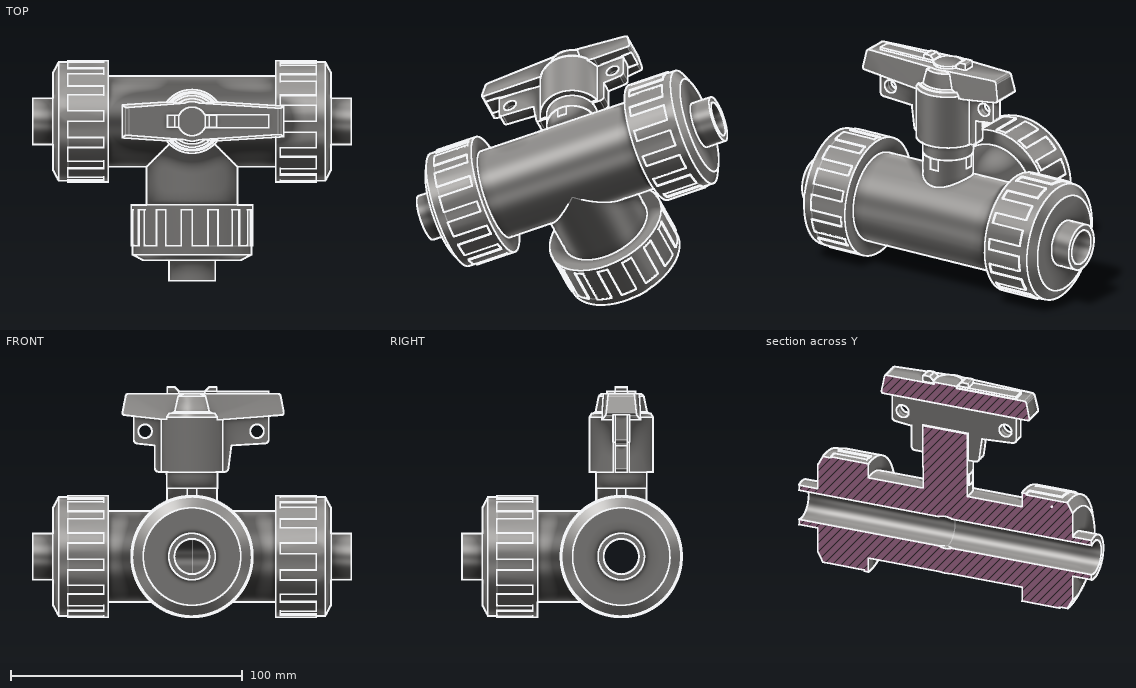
import cadquery as cq


END_REACH = 68.8
BODY_RADIUS = 19.7
PIPE_RADIUS = 10.0
BORE_RADIUS = 7.5

NUT_START = 36.0
NUT_COLLAR_END = 38.1
NUT_RIB_END = 53.6
NUT_CHAMFER_START = 57.5
NUT_END = 60.0
NUT_RADIUS = 25.7
NUT_FACE_RADIUS = 21.0
RIB_RADIUS = 26.3
RIB_COUNT = 14
RIB_PITCH = 360.0 / RIB_COUNT
GAP_ANGLE = 0.4 * RIB_PITCH
CUT_CLEARANCE = 1.4

STEM_RADIUS = 11.0
NECK_RADIUS = 10.9
NECK_TOP = 29.4
STEM_TOP = 49.4
KEY_RADIUS = NECK_RADIUS + 0.07
KEY_WIDTH = 4.0
KEY_BOTTOM = 24.2

HUB_BOTTOM = 36.5
HUB_RADIUS = 13.8
HUB_SHOULDER = 60.1
HUB_LEDGE = 61.7
HUB_LEDGE_RADIUS = 12.8
HUB_SLOT_WIDTH = 7.0

CONE_FOOT_RADIUS = 12.1
CONE_BASE = 62.4
CONE_BASE_RADIUS = 11.1
CONE_RIM = 69.2
CONE_RIM_RADIUS = 9.8
CONE_TOP_RADIUS = 8.5

BAR_LEFT = -30.2
BAR_RIGHT = 39.9
BAR_TOP = 70.3
BAR_END_BOTTOM = 61.0
BAR_LEFT_ROOT = 59.3
BAR_RIGHT_ROOT = 58.8
BAR_RIGHT_ROOT_X = 10.3
BAR_BOTTOM_HALF_WIDTHS = (7.4, 9.0, 6.9)
BAR_TOP_HALF_WIDTHS = (5.8, 8.1, 5.5)
BAR_END_SLOPE = 1.8
BAR_TOP_ROUND = 1.4
BAR_BOTTOM_ROUND = 1.1

FIN_WIDTH = 5.2
FIN_LEFT = -25.2
FIN_RIGHT = 33.1
FIN_FOOT_LEFT = -16.1
FIN_FOOT_RIGHT = 15.5
FIN_ROOT_RIGHT = 17.0
FIN_TOP = BAR_END_BOTTOM + 1.4
FIN_TIP_BOTTOM = 48.8
FIN_ROOT_BOTTOM = 47.8
FIN_ROUND = 1.8
FIN_HOLE_RADIUS = 2.9
FIN_HOLE_HEIGHT = 54.0
FIN_HOLES_X = (-20.2, 28.0)
STRIP_WIDTH = 5.6
STRIP_TOP = 71.2
DISC_RADIUS = 6.2
LUG_TOP = 73.2
LUG_OUTER = 10.7
LUG_INNER = 5.8
LUG_SLOPE = 1.6
LUG_ROUND = 0.5


def x_cylinder(radius, length):
    """Cylinder from the origin along +X."""
    return cq.Workplane("YZ").circle(radius).extrude(length)


def toward_each_port(shape):
    """Copies of a +X port feature turned onto the +X, -Y and -X ports."""
    return [shape.rotate((0, 0, 0), (0, 0, 1), turn) for turn in (0, -90, 180)]


def round_corner(plate, x, z, radius):
    """Fillet the edge along Y that passes through (x, z)."""
    corner = cq.selectors.BoxSelector((x - 0.7, -0.7, z - 0.7), (x + 0.7, 0.7, z + 0.7))
    return plate.edges(corner).fillet(radius)


def nut():
    profile = [
        (NUT_START, 0),
        (NUT_START, RIB_RADIUS),
        (NUT_RIB_END, RIB_RADIUS),
        (NUT_RIB_END, NUT_RADIUS),
        (NUT_CHAMFER_START, NUT_RADIUS),
        (NUT_END, NUT_FACE_RADIUS),
        (NUT_END, 0),
    ]
    blank = cq.Workplane("XZ").polyline(profile).close().revolve(360, (0, 0, 0), (1, 0, 0))

    gap = (
        cq.Workplane("XZ")
        .moveTo(NUT_COLLAR_END, NUT_RADIUS)
        .lineTo(NUT_COLLAR_END, RIB_RADIUS + CUT_CLEARANCE)
        .lineTo(NUT_RIB_END, RIB_RADIUS + CUT_CLEARANCE)
        .lineTo(NUT_RIB_END, NUT_RADIUS)
        .close()
        .revolve(GAP_ANGLE, (0, 0, 0), (1, 0, 0))
    )
    gaps = [gap.rotate((0, 0, 0), (1, 0, 0), i * RIB_PITCH).val() for i in range(RIB_COUNT)]
    return blank.cut(cq.Workplane(cq.Compound.makeCompound(gaps)))


def tee():
    port = x_cylinder(BODY_RADIUS, NUT_START).union(x_cylinder(PIPE_RADIUS, END_REACH)).union(nut())
    first, second, third = toward_each_port(port)
    return first.union(second).union(third)


def stem():
    neck = cq.Workplane("XY").circle(NECK_RADIUS).extrude(NECK_TOP)
    upper = cq.Workplane("XY").workplane(offset=NECK_TOP).circle(STEM_RADIUS).extrude(STEM_TOP - NECK_TOP)

    key_height = NECK_TOP - KEY_BOTTOM
    key_plane = cq.Workplane("XY").workplane(offset=KEY_BOTTOM)
    cross = (
        key_plane.rect(2 * HUB_RADIUS, KEY_WIDTH)
        .extrude(key_height)
        .union(key_plane.rect(KEY_WIDTH, 2 * HUB_RADIUS).extrude(key_height))
    )
    keys = cross.intersect(key_plane.circle(KEY_RADIUS).extrude(key_height))
    return neck.union(upper).union(keys)


def hub():
    profile = [
        (0, HUB_BOTTOM),
        (HUB_RADIUS, HUB_BOTTOM),
        (HUB_RADIUS, HUB_SHOULDER),
        (HUB_LEDGE_RADIUS, HUB_LEDGE),
        (CONE_FOOT_RADIUS, HUB_LEDGE),
        (CONE_BASE_RADIUS, CONE_BASE),
        (CONE_RIM_RADIUS, CONE_RIM),
        (CONE_TOP_RADIUS, BAR_TOP),
        (0, BAR_TOP),
    ]
    return cq.Workplane("XZ").polyline(profile).close().revolve(360, (0, 0, 0), (0, 1, 0))


def bar_plan(half_widths):
    left_half, middle_half, right_half = half_widths
    return [
        (BAR_LEFT, -left_half),
        (0, -middle_half),
        (BAR_RIGHT, -right_half),
        (BAR_RIGHT, right_half),
        (0, middle_half),
        (BAR_LEFT, left_half),
    ]


def bar():
    tapered = (
        cq.Workplane("XY")
        .workplane(offset=BAR_RIGHT_ROOT)
        .polyline(bar_plan(BAR_BOTTOM_HALF_WIDTHS))
        .close()
        .workplane(offset=BAR_TOP - BAR_RIGHT_ROOT)
        .polyline(bar_plan(BAR_TOP_HALF_WIDTHS))
        .close()
        .loft(ruled=True)
    )
    side_profile = [
        (BAR_LEFT, BAR_END_BOTTOM),
        (-HUB_RADIUS, BAR_LEFT_ROOT),
        (BAR_RIGHT_ROOT_X, BAR_RIGHT_ROOT),
        (BAR_RIGHT, BAR_END_BOTTOM),
        (BAR_RIGHT - BAR_END_SLOPE, BAR_TOP),
        (BAR_LEFT + BAR_END_SLOPE, BAR_TOP),
    ]
    side = cq.Workplane("XZ").polyline(side_profile).close().extrude(HUB_RADIUS, both=True)
    side = side.edges("|Y and >Z").fillet(BAR_TOP_ROUND)
    for x in (BAR_LEFT, BAR_RIGHT):
        side = round_corner(side, x, BAR_END_BOTTOM, BAR_BOTTOM_ROUND)
    return tapered.intersect(side)


def fin():
    tip_left = (FIN_LEFT, FIN_TIP_BOTTOM)
    root_left = (FIN_FOOT_LEFT, FIN_ROOT_BOTTOM)
    foot_left = (FIN_FOOT_LEFT, HUB_BOTTOM)
    foot_right = (FIN_FOOT_RIGHT, HUB_BOTTOM)
    root_right = (FIN_ROOT_RIGHT, FIN_ROOT_BOTTOM)
    tip_right = (FIN_RIGHT, FIN_TIP_BOTTOM)
    profile = [
        (FIN_LEFT, FIN_TOP),
        tip_left,
        root_left,
        foot_left,
        foot_right,
        root_right,
        tip_right,
        (FIN_RIGHT, FIN_TOP),
    ]
    plate = cq.Workplane("XZ").polyline(profile).close().extrude(FIN_WIDTH / 2, both=True)
    for x, z in (tip_left, foot_left, foot_right, tip_right):
        plate = round_corner(plate, x, z, FIN_ROUND)
    holes = (
        cq.Workplane("XZ")
        .pushPoints([(x, FIN_HOLE_HEIGHT) for x in FIN_HOLES_X])
        .circle(FIN_HOLE_RADIUS)
        .extrude(FIN_WIDTH, both=True)
    )
    return plate.cut(holes)


def lug():
    profile = [
        (LUG_INNER, BAR_TOP),
        (LUG_INNER, LUG_TOP - LUG_SLOPE),
        (LUG_INNER + LUG_SLOPE, LUG_TOP),
        (LUG_OUTER, LUG_TOP),
        (LUG_OUTER, BAR_TOP),
    ]
    block = cq.Workplane("XZ").polyline(profile).close().extrude(FIN_WIDTH / 2, both=True)
    return block.edges("|Y and >X and >Z").fillet(LUG_ROUND)


def top_details():
    height = STRIP_TOP - BAR_TOP
    top_plane = cq.Workplane("XY").workplane(offset=BAR_TOP)
    disc = top_plane.circle(DISC_RADIUS).extrude(height)
    strip = top_plane.center(FIN_RIGHT / 2, 0).rect(FIN_RIGHT, STRIP_WIDTH).extrude(height)
    return disc.union(strip).union(lug()).union(lug().mirror("YZ"))


def handle():
    slot_height = BAR_END_BOTTOM - HUB_BOTTOM
    slot = (
        cq.Workplane("XY")
        .workplane(offset=HUB_BOTTOM)
        .rect(4 * BAR_RIGHT, HUB_SLOT_WIDTH)
        .extrude(slot_height)
    )
    return hub().union(bar()).cut(slot).union(fin()).union(top_details())


result = tee().union(stem()).union(handle())

for bore in toward_each_port(x_cylinder(BORE_RADIUS, END_REACH)):
    result = result.cut(bore)